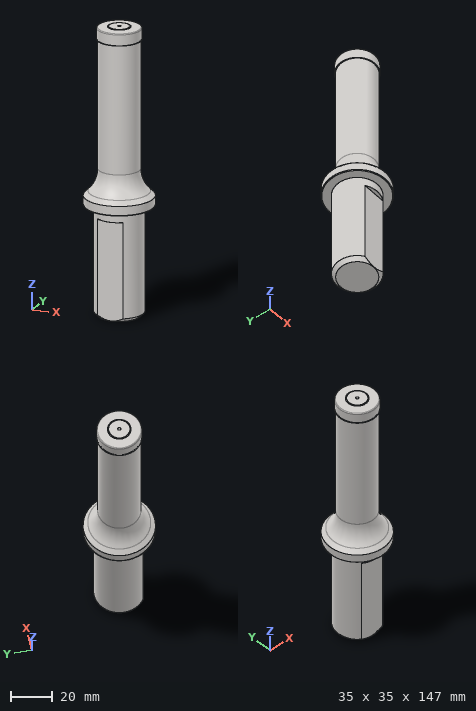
import cadquery as cq
import math


shank_radius = 25.0 / 2
shank_length = 56.0
shank_chamfer = 2.1
flat_offset = 10.5
flat_start_depth = 5.0

flange_radius = 35.0 / 2
flange_thickness = 5.0
flange_chamfer = 0.4

neck_radius = 21.0 / 2
flare_arc_radius = 16.0
flare_cone_angle = math.radians(45)

overall_length = 147.0
head_radius = 22.0 / 2
head_height = 6.62
head_edge_round = 0.45
ring_face_slope = 0.047
center_face_slope = 0.02
step_inner_radius = 5.15
step_outer_radius = 5.65
step_height = 0.2
center_dimple_radius = 0.75
center_dimple_depth = 0.6

tip_z = overall_length - shank_length
neck_end_z = tip_z - head_height
cone_top_radius = neck_radius + flare_arc_radius * (1 - math.cos(flare_cone_angle))
cone_height = (flange_radius - cone_top_radius) / math.tan(flare_cone_angle)
cone_top_z = flange_thickness + cone_height
flare_top_z = cone_top_z + flare_arc_radius * math.sin(flare_cone_angle)


def flare_arc_point(angle):
    """Point of the flare arc, `angle` measured from its tangency with the neck."""
    radius = neck_radius + flare_arc_radius * (1 - math.cos(angle))
    height = flare_top_z - flare_arc_radius * math.sin(angle)
    return (radius, height)


def make_holder():
    """Shank, flange, flare and neck as one turned body with a flat milled on the -Y side."""
    turned = (
        cq.Workplane("XZ")
        .moveTo(0, -shank_length)
        .lineTo(shank_radius - shank_chamfer, -shank_length)
        .lineTo(shank_radius, -shank_length + shank_chamfer)
        .lineTo(shank_radius, 0)
        .lineTo(flange_radius - flange_chamfer, 0)
        .lineTo(flange_radius, flange_chamfer)
        .lineTo(flange_radius, flange_thickness)
        .lineTo(cone_top_radius, cone_top_z)
        .threePointArc(flare_arc_point(flare_cone_angle / 2), (neck_radius, flare_top_z))
        .lineTo(neck_radius, neck_end_z)
        .lineTo(0, neck_end_z)
        .close()
        .revolve(360, (0, 0), (0, 1))
    )
    flat_length = shank_length - flat_start_depth
    flat_cut = (
        cq.Workplane("XY")
        .box(2 * shank_radius, shank_radius, flat_length, centered=(True, False, False))
        .translate((0, -flat_offset - shank_radius, -shank_length))
    )
    return turned.cut(flat_cut)


def make_head():
    """Turned head with a slightly conical end face, a raised middle and a center dimple."""
    face_radius = head_radius - head_edge_round
    step_top_z = tip_z - center_face_slope * (step_inner_radius - center_dimple_radius)
    step_bottom_z = step_top_z - step_height
    face_edge_z = step_bottom_z - ring_face_slope * (face_radius - step_outer_radius)
    edge_round_setback = head_edge_round * (1 - math.cos(math.radians(45)))
    edge_round_middle = (head_radius - edge_round_setback, face_edge_z - edge_round_setback)
    return (
        cq.Workplane("XZ")
        .moveTo(0, neck_end_z)
        .lineTo(head_radius, neck_end_z)
        .lineTo(head_radius, face_edge_z - head_edge_round)
        .threePointArc(edge_round_middle, (face_radius, face_edge_z))
        .lineTo(step_outer_radius, step_bottom_z)
        .lineTo(step_inner_radius, step_top_z)
        .lineTo(center_dimple_radius, tip_z)
        .lineTo(0, tip_z - center_dimple_depth)
        .close()
        .revolve(360, (0, 0), (0, 1))
    )


holder = make_holder()
head = make_head()

result = cq.Compound.makeCompound([holder.val(), head.val()])